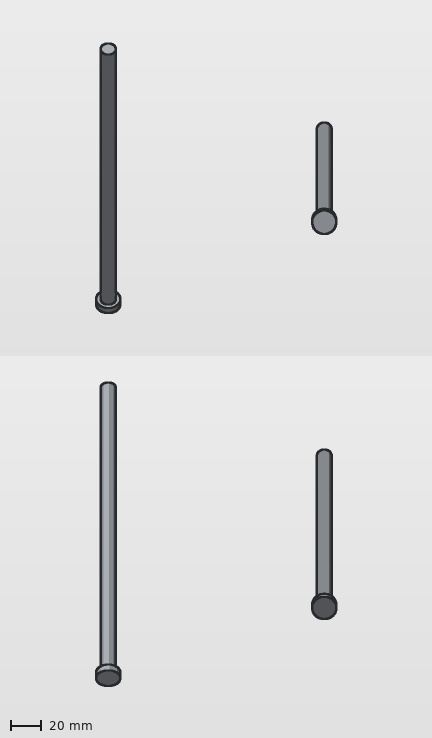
import cadquery as cq

total_length = 250.0
head_diameter = 16.0
head_thickness = 5.0
shaft_diameter = 10.0
shaft_length = total_length - head_thickness

head = cq.Workplane("XY").circle(head_diameter / 2).extrude(head_thickness)

result = head.faces(">Z").workplane().circle(shaft_diameter / 2).extrude(shaft_length)